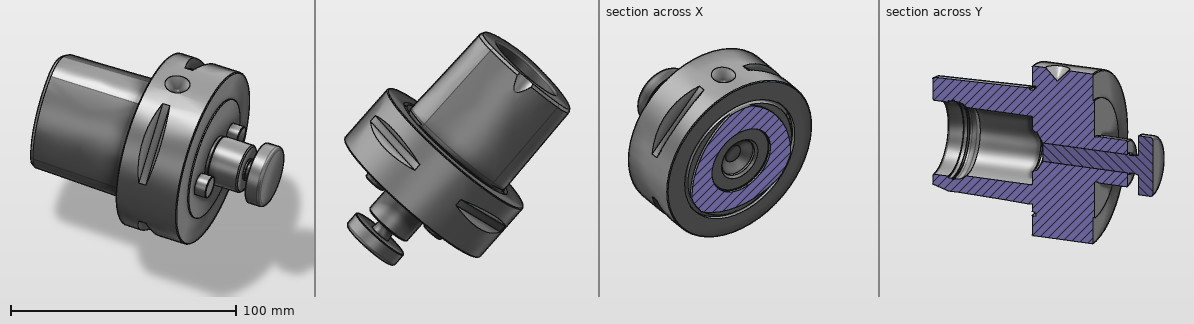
import cadquery as cq
import math


SHANK_LENGTH = 45.8
FLANGE_START = 47.9
NECK_REDUCTION = 0.2
VERTEX_REACH = 29.5
FLAT_REACH = 25.4
TAPER_PER_SIDE = 1 / 40
SHANK_CHAMFER_LENGTH = 1.5
SHANK_CHAMFER_DEPTH = 0.8

NOTCH_AXIS_DROP = 28.9
NOTCH_RADIUS = 6.8
NOTCH_END_RADIUS = 3.6
NOTCH_LENGTH = 10.6

MOUTH_RADIUS = 18.3
MOUTH_ROUND = 1.1
ENTRY_RADIUS = MOUTH_RADIUS - MOUTH_ROUND
UNDERCUT_START = 7.6
UNDERCUT_BORE_RADIUS = 18.0
GROOVE_START = 9.4
GROOVE_WIDTH = 1.0
GROOVE_DEPTH = 0.5
UNDERCUT_ROUND_START = 11.7
CONE_START = 14.0
CONE_START_RADIUS = 17.6
CONE_END = 16.3
BORE_RADIUS = 32.0 / 2
BORE_END = FLANGE_START
BORE_FLOOR_CHAMFER = 0.3

FLANGE_END = 77.4
FLANGE_RADIUS = 80.0 / 2
FLANGE_CHAMFER = 0.4
SEAT_RADIUS = 27.7
SEAT_HEIGHT = 0.6
SEAT_FACE = FLANGE_END + SEAT_HEIGHT

RELIEF_INNER_RADIUS = 28.6
RELIEF_OUTER_RADIUS = 30.4
RELIEF_FRONT = 46.2
RELIEF_SLOPE_LENGTH = 0.6

GRIP_X = 60.0
SLOT_COUNT = 4
SLOT_FLOOR_WIDTH = 3.4
SLOT_FLOOR_REACH = 35.5
SLOT_FLANK_ANGLE = 30
SLOT_OVERCUT = 1.1
DIMPLE_RADIUS = 5.6

SPIGOT_RADIUS = 22.0 / 2
SPIGOT_END = 93.9
SPIGOT_CHAMFER = 0.6
SPIGOT_UNDERCUT_RADIUS = 21.4 / 2
SPIGOT_UNDERCUT_END = 79.4
SPIGOT_UNDERCUT_RAMP = 0.5

SINK_MOUTH_RADIUS = 20.0 / 2
SINK_RADIUS = 17.8 / 2
SINK_STRAIGHT = 1.1
SINK_HALF_ANGLE = 59
SCREW_RADIUS = 8.4 / 2
SINK_CHAMFER_END = BORE_END + SINK_MOUTH_RADIUS - SINK_RADIUS
SINK_CONE_START = SINK_CHAMFER_END + SINK_STRAIGHT
SINK_CONE_END = SINK_CONE_START + (SINK_RADIUS - SCREW_RADIUS) / math.tan(math.radians(SINK_HALF_ANGLE))
COLLAR_RADIUS = 10.0 / 2
COLLAR_WIDTH = 0.8
WAIST_FLARE_RADIUS = 9.5 / 2
WAIST_MIDDLE_RISE = 0.1
HEAD_RADIUS = 28.0 / 2
HEAD_START = 99.0
HEAD_END = 106
HEAD_ROUND = 1.4
HEAD_CHAMFER = 0.3

PIN_RADIUS = 10.0 / 2
PIN_OFFSET = 17
PIN_END = 83.5
PIN_CHAMFER = 0.3
PIN_SINK = 2 * PIN_RADIUS


def revolve_about_x(profile):
    """Turn a closed (x, radius) profile around the X axis."""
    return profile.close().revolve(360, (0, 0, 0), (1, 0, 0))


def polygon_outline(x, inset):
    """Rounded triangle of constant width, corner up, set inwards from the large end's outline."""
    width_ratio = 2 / math.sqrt(3)
    radius_gap = (VERTEX_REACH - FLAT_REACH) / (width_ratio - 1)
    corner_centre = radius_gap / math.sqrt(3)
    corner_radius = VERTEX_REACH - corner_centre - inset

    def corner_point(corner_angle, turn):
        centre = math.radians(corner_angle)
        normal = math.radians(corner_angle + turn)
        return (
            corner_centre * math.cos(centre) + corner_radius * math.cos(normal),
            corner_centre * math.sin(centre) + corner_radius * math.sin(normal),
        )

    def side_middle(angle):
        reach = FLAT_REACH - inset
        return (reach * math.cos(math.radians(angle)), reach * math.sin(math.radians(angle)))

    outline = cq.Workplane("YZ", origin=(x, 0, 0)).moveTo(*corner_point(90, -30))
    for angle in (90, 210, 330):
        outline = outline.threePointArc(corner_point(angle, 0), corner_point(angle, 30))
        outline = outline.threePointArc(side_middle(angle + 60), corner_point(angle + 120, -30))
    return outline.close().wire().val()


def polygon_frustum(start, start_inset, end, end_inset):
    wires = [polygon_outline(start, start_inset), polygon_outline(end, end_inset)]
    return cq.Workplane(cq.Solid.makeLoft(wires, True))


def make_shank():
    tip_inset = TAPER_PER_SIDE * (SHANK_LENGTH - SHANK_CHAMFER_LENGTH)
    tip = polygon_frustum(0, tip_inset + SHANK_CHAMFER_DEPTH, SHANK_CHAMFER_LENGTH, tip_inset)
    taper = polygon_frustum(SHANK_CHAMFER_LENGTH, tip_inset, SHANK_LENGTH, 0)
    neck = polygon_frustum(SHANK_LENGTH, 0, FLANGE_START, NECK_REDUCTION)
    notch = cq.Workplane(
        cq.Solid.makeCone(
            NOTCH_RADIUS, NOTCH_END_RADIUS, NOTCH_LENGTH,
            cq.Vector(0, 0, -NOTCH_AXIS_DROP), cq.Vector(1, 0, 0),
        )
    )
    return tip.union(taper).union(neck).cut(notch)


def make_flange_and_spigot():
    profile = (
        cq.Workplane("XY")
        .moveTo(FLANGE_START, 0)
        .lineTo(FLANGE_START, FLANGE_RADIUS - FLANGE_CHAMFER)
        .lineTo(FLANGE_START + FLANGE_CHAMFER, FLANGE_RADIUS)
        .lineTo(FLANGE_END - FLANGE_CHAMFER, FLANGE_RADIUS)
        .lineTo(FLANGE_END, FLANGE_RADIUS - FLANGE_CHAMFER)
        .lineTo(FLANGE_END, SEAT_RADIUS)
        .lineTo(SEAT_FACE, SEAT_RADIUS)
        .lineTo(SEAT_FACE, SPIGOT_UNDERCUT_RADIUS)
        .lineTo(SPIGOT_UNDERCUT_END, SPIGOT_UNDERCUT_RADIUS)
        .lineTo(SPIGOT_UNDERCUT_END + SPIGOT_UNDERCUT_RAMP, SPIGOT_RADIUS)
        .lineTo(SPIGOT_END - SPIGOT_CHAMFER, SPIGOT_RADIUS)
        .lineTo(SPIGOT_END, SPIGOT_RADIUS - SPIGOT_CHAMFER)
        .lineTo(SPIGOT_END, 0)
    )
    return revolve_about_x(profile)


def make_root_relief():
    """Ring groove in the flange face with a rounded floor, which also trims the polygon corners."""
    floor = FLANGE_START + RELIEF_OUTER_RADIUS - RELIEF_INNER_RADIUS
    profile = (
        cq.Workplane("XY")
        .moveTo(RELIEF_FRONT, RELIEF_OUTER_RADIUS)
        .lineTo(RELIEF_FRONT + RELIEF_SLOPE_LENGTH, RELIEF_INNER_RADIUS)
        .lineTo(FLANGE_START, RELIEF_INNER_RADIUS)
        .tangentArcPoint((floor, RELIEF_OUTER_RADIUS), relative=False)
    )
    return revolve_about_x(profile)


def make_bore():
    """Stepped shank bore, countersink and screw hole in one turned shape."""
    groove_end = GROOVE_START + GROOVE_WIDTH
    groove_radius = UNDERCUT_BORE_RADIUS + GROOVE_DEPTH
    profile = (
        cq.Workplane("XY")
        .lineTo(0, MOUTH_RADIUS)
        .radiusArc((MOUTH_ROUND, ENTRY_RADIUS), -MOUTH_ROUND)
        .lineTo(UNDERCUT_START, ENTRY_RADIUS)
        .lineTo(UNDERCUT_START, UNDERCUT_BORE_RADIUS)
        .lineTo(GROOVE_START, UNDERCUT_BORE_RADIUS)
        .lineTo(GROOVE_START, groove_radius)
        .lineTo(groove_end, groove_radius)
        .lineTo(groove_end, UNDERCUT_BORE_RADIUS)
        .lineTo(UNDERCUT_ROUND_START, UNDERCUT_BORE_RADIUS)
        .tangentArcPoint((CONE_START, CONE_START_RADIUS), relative=False)
        .lineTo(CONE_END, BORE_RADIUS)
        .lineTo(BORE_END - BORE_FLOOR_CHAMFER, BORE_RADIUS)
        .lineTo(BORE_END, BORE_RADIUS - BORE_FLOOR_CHAMFER)
        .lineTo(BORE_END, SINK_MOUTH_RADIUS)
        .lineTo(SINK_CHAMFER_END, SINK_RADIUS)
        .lineTo(SINK_CONE_START, SINK_RADIUS)
        .lineTo(SINK_CONE_END, SCREW_RADIUS)
        .lineTo(SPIGOT_END, SCREW_RADIUS)
        .lineTo(SPIGOT_END, 0)
    )
    return revolve_about_x(profile)


def make_grip_slot(angle):
    """Straight slot across the flange rim, wider towards the outside."""
    depth = FLANGE_RADIUS - SLOT_FLOOR_REACH + SLOT_OVERCUT
    floor_half = SLOT_FLOOR_WIDTH / 2
    top_half = floor_half + depth * math.tan(math.radians(SLOT_FLANK_ANGLE))
    section = [
        (GRIP_X - floor_half, SLOT_FLOOR_REACH),
        (GRIP_X + floor_half, SLOT_FLOOR_REACH),
        (GRIP_X + top_half, SLOT_FLOOR_REACH + depth),
        (GRIP_X - top_half, SLOT_FLOOR_REACH + depth),
    ]
    slot = cq.Workplane("XZ").polyline(section).close().extrude(FLANGE_RADIUS, both=True)
    return slot.rotate((0, 0, 0), (1, 0, 0), angle)


def make_dimple():
    return cq.Workplane(
        cq.Solid.makeCone(
            DIMPLE_RADIUS, 0, DIMPLE_RADIUS,
            cq.Vector(GRIP_X, 0, FLANGE_RADIUS), cq.Vector(0, 0, -1),
        )
    )


def make_pin(offset):
    start = SEAT_FACE - PIN_SINK
    pin = cq.Workplane("YZ", origin=(start, offset, 0)).circle(PIN_RADIUS).extrude(PIN_END - start)
    return pin.faces(">X").chamfer(PIN_CHAMFER)


def make_housing(pins):
    body = make_shank().union(make_flange_and_spigot())
    body = body.cut(make_root_relief()).cut(make_bore()).cut(make_dimple())
    for index in range(SLOT_COUNT):
        body = body.cut(make_grip_slot(360 / SLOT_COUNT * (index + 0.5)))
    for pin in pins:
        body = body.cut(pin)
    return body


def make_screw():
    """Plain shank, collar against the spigot, waist curving out to the round head."""
    collar_end = SPIGOT_END + COLLAR_WIDTH
    waist_middle = ((collar_end + HEAD_START) / 2, SCREW_RADIUS + WAIST_MIDDLE_RISE)
    profile = (
        cq.Workplane("XY")
        .moveTo(SINK_CONE_END, 0)
        .lineTo(SINK_CONE_END, SCREW_RADIUS)
        .lineTo(SPIGOT_END, SCREW_RADIUS)
        .lineTo(SPIGOT_END, COLLAR_RADIUS)
        .lineTo(collar_end, COLLAR_RADIUS)
        .lineTo(collar_end, SCREW_RADIUS)
        .threePointArc(waist_middle, (HEAD_START, WAIST_FLARE_RADIUS))
        .lineTo(HEAD_START, HEAD_RADIUS - HEAD_CHAMFER)
        .lineTo(HEAD_START + HEAD_CHAMFER, HEAD_RADIUS)
        .lineTo(HEAD_END - HEAD_ROUND, HEAD_RADIUS)
        .radiusArc((HEAD_END, HEAD_RADIUS - HEAD_ROUND), HEAD_ROUND)
        .lineTo(HEAD_END, 0)
    )
    return revolve_about_x(profile)


pins = [make_pin(side * PIN_OFFSET) for side in (-1, 1)]
housing = make_housing(pins)
screw = make_screw()

result = cq.Compound.makeCompound([housing.val(), screw.val(), *[pin.val() for pin in pins]])